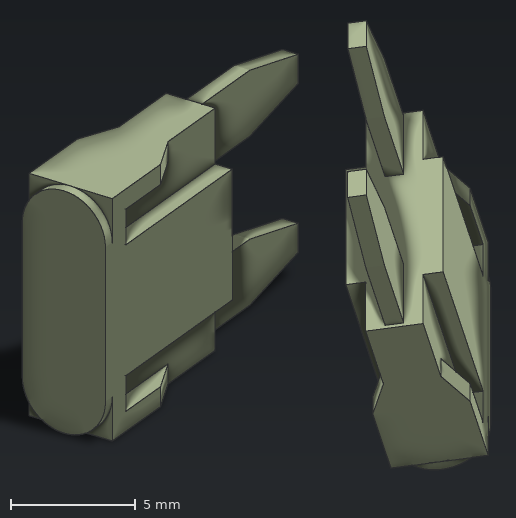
import cadquery as cq

width = 4.0
length = 16.6
height = 11.0

cap_thickness = 0.5
housing_end = 9.3
neck_width = 2.35
recess_depth = (width - neck_width) / 2

panel_height = 5.95
strip_height = 0.91
slot_start = 1.5
ramp_start = 4.03
ramp_end = 5.85

blade_thickness = 0.76
blade_height = 3.0
blade_tip_height = 1.33
blade_spacing = 7.67
taper_length = 3.55


def make_housing():
    """Rectangular block with a stadium-shaped cap on its front."""
    block_length = housing_end - cap_thickness
    block = cq.Workplane("XY").box(width, block_length, height, centered=(True, False, True))
    block = block.translate((0, cap_thickness, 0))
    cap = (
        cq.Workplane("XZ")
        .slot2D(height, width, 90)
        .extrude(-cap_thickness)
    )
    return block.union(cap)


def make_recess():
    """Cut on the +X face, upper half: a slot beside an edge strip with a ramp."""
    floor = neck_width / 2
    face = width / 2
    slot_bottom = panel_height / 2
    strip_bottom = height / 2 - strip_height
    slot = cq.Workplane("XY").box(
        recess_depth,
        housing_end - slot_start,
        strip_bottom - slot_bottom,
        centered=False,
    ).translate((floor, slot_start, slot_bottom))
    strip = (
        cq.Workplane("XY", origin=(0, 0, strip_bottom))
        .moveTo(face, ramp_start)
        .lineTo(floor, ramp_end)
        .lineTo(floor, housing_end)
        .lineTo(face, housing_end)
        .close()
        .extrude(strip_height)
    )
    return slot.union(strip)


def make_blade(center_z):
    """Flat blade, tapered on both edges towards its tip."""
    taper_start = length - taper_length
    half_root = blade_height / 2
    half_tip = blade_tip_height / 2
    outline = [
        (housing_end, -half_root),
        (taper_start, -half_root),
        (length, -half_tip),
        (length, half_tip),
        (taper_start, half_root),
        (housing_end, half_root),
    ]
    blade = cq.Workplane("YZ").polyline(outline).close().extrude(blade_thickness / 2, both=True)
    return blade.translate((0, 0, center_z))


result = make_housing()

upper_right_recess = make_recess()
upper_left_recess = upper_right_recess.mirror("YZ")
for recess in (upper_right_recess, upper_left_recess):
    result = result.cut(recess).cut(recess.mirror("XY"))

for side in (-1, 1):
    result = result.union(make_blade(side * blade_spacing / 2))